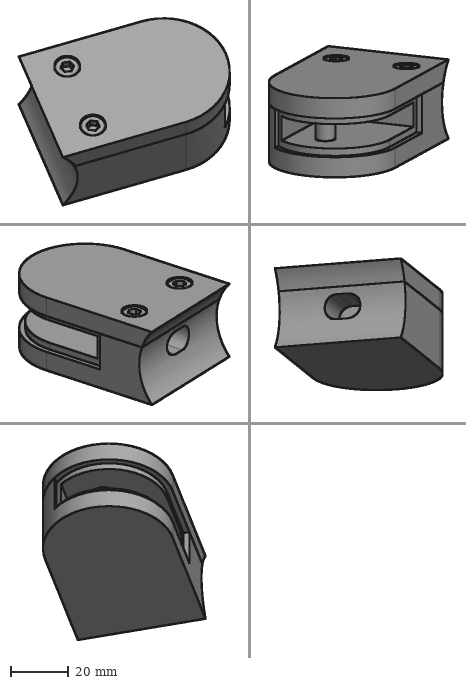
import cadquery as cq
import math

LENGTH = 68.5
WIDTH = 46.0
HEIGHT = 28.5
TUBE_RADIUS = 21.25

SLOT_HEIGHT = 14.0
SLOT_DEPTH = 46.0
SLOT_WALL_X = 15.1

GASKET_INSET = 2.1
LIP_THICKNESS = 2.6
SIDE_THICKNESS = 2.1

PEG_DIAMETER = 7.0
PEG_END_DIAMETER = 6.6
PEG_CLEARANCE = 0.15
PEG_SETBACK = 15.0

BOLT_SLOT_LENGTH = 13.0
BOLT_SLOT_HEIGHT = 9.0

SCREW_SPACING = 26.85
SCREW_SETBACK = 14.5
HEAD_DIAMETER = 9.0
HEAD_RECESS = 0.3
HEAD_ROUND = 0.6
SOCKET_DIAMETER = 4.65
SOCKET_DEPTH = 2.75
SOCKET_ANGLES = {-1: 20.0, 1: 2.0}

NOSE_Y = LENGTH / 2
BACK_Y = -LENGTH / 2
NOSE_RADIUS = WIDTH / 2
NOSE_CENTER_Y = NOSE_Y - NOSE_RADIUS
TOP_Z = HEIGHT / 2
SLOT_TOP_Z = SLOT_HEIGHT / 2
SLOT_END_Y = NOSE_Y - SLOT_DEPTH
TUBE_AXIS_Y = BACK_Y - math.sqrt(TUBE_RADIUS**2 - TOP_Z**2)


def rounded_plate(radius, back_y, bottom_z, top_z):
    """Flat plate with a straight back edge and a full-round nose."""
    return (
        cq.Workplane("XY", origin=(0, 0, bottom_z))
        .moveTo(-radius, back_y)
        .lineTo(radius, back_y)
        .lineTo(radius, NOSE_CENTER_Y)
        .threePointArc((0, NOSE_CENTER_Y + radius), (-radius, NOSE_CENTER_Y))
        .close()
        .extrude(top_z - bottom_z)
    )


def block(x_min, x_max, y_min, y_max, half_height):
    """Box placed by its X and Y limits, centred on Z = 0."""
    return (
        cq.Workplane("XY", origin=(0, 0, -half_height))
        .moveTo(x_min, y_min)
        .lineTo(x_max, y_min)
        .lineTo(x_max, y_max)
        .lineTo(x_min, y_max)
        .close()
        .extrude(2 * half_height)
    )


def opening():
    """Space between the jaws, closed at the back and by the +X wall."""
    return block(-WIDTH, SLOT_WALL_X, SLOT_END_Y, LENGTH, SLOT_TOP_Z)


def tube():
    """Round post along X, used to hollow the back face."""
    return (
        cq.Workplane("YZ", origin=(-WIDTH, TUBE_AXIS_Y, 0))
        .circle(TUBE_RADIUS)
        .extrude(2 * WIDTH)
    )


def peg_cylinder(diameter, height):
    """Cylinder on the peg axis, centred on Z = 0."""
    return (
        cq.Workplane("XY", origin=(0, NOSE_Y - PEG_SETBACK, -height / 2))
        .circle(diameter / 2)
        .extrude(height)
    )


def peg_core():
    """Slim part of the peg, from the lower jaw up to the cover."""
    return peg_cylinder(PEG_END_DIAMETER, SLOT_HEIGHT)


def peg():
    """Safety peg: slim core with a wider barrel between the gasket lips."""
    barrel_height = SLOT_HEIGHT - 2 * (LIP_THICKNESS + PEG_CLEARANCE)
    return peg_core().union(peg_cylinder(PEG_DIAMETER, barrel_height))


def bolt_slot():
    """Mounting slot from the hollow back through to the opening."""
    return (
        cq.Workplane("XZ", origin=(0, SLOT_END_Y, 0))
        .slot2D(BOLT_SLOT_LENGTH, BOLT_SLOT_HEIGHT)
        .extrude(SLOT_END_Y - BACK_Y)
    )


def make_base():
    body = rounded_plate(NOSE_RADIUS, BACK_Y, -TOP_Z, SLOT_TOP_Z)
    return body.cut(opening()).cut(tube()).cut(bolt_slot()).union(peg())


def head_relief():
    """Shallow recess above a screw head, deepening around its rounded rim.

    Z = 0 is the face of the head.
    """
    outer = HEAD_DIAMETER / 2
    inner = outer - HEAD_ROUND
    mid_offset = HEAD_ROUND * math.sqrt(0.5)
    return (
        cq.Workplane("XZ")
        .moveTo(0, 0)
        .lineTo(inner, 0)
        .threePointArc((inner + mid_offset, mid_offset - HEAD_ROUND), (outer, -HEAD_ROUND))
        .lineTo(outer, HEAD_RECESS)
        .lineTo(0, HEAD_RECESS)
        .close()
        .revolve(360, (0, 0, 0), (0, 1, 0))
    )


def hex_socket(angle):
    """Hexagon socket cut down from the face of a head at Z = 0."""
    return (
        cq.Workplane("XY")
        .polygon(6, SOCKET_DIAMETER)
        .extrude(-SOCKET_DEPTH)
        .rotate((0, 0, 0), (0, 0, 1), angle)
    )


def make_cover():
    cover = rounded_plate(NOSE_RADIUS, BACK_Y, SLOT_TOP_Z, TOP_Z).cut(tube())
    for side, angle in SOCKET_ANGLES.items():
        place = (side * SCREW_SPACING / 2, BACK_Y + SCREW_SETBACK, TOP_Z - HEAD_RECESS)
        cover = cover.cut(head_relief().translate(place))
        cover = cover.cut(hex_socket(angle).translate(place))
    return cover


def make_gasket():
    gasket_radius = NOSE_RADIUS - GASKET_INSET
    outline = rounded_plate(gasket_radius, SLOT_END_Y, -SLOT_TOP_Z, SLOT_TOP_Z)
    glass = block(
        -WIDTH,
        SLOT_WALL_X - SIDE_THICKNESS,
        SLOT_END_Y + LIP_THICKNESS,
        LENGTH,
        SLOT_TOP_Z - LIP_THICKNESS,
    )
    return outline.intersect(opening()).cut(glass).cut(peg_core())


base = make_base()
cover = make_cover()
gasket = make_gasket()

result = cq.Compound.makeCompound([base.val(), cover.val(), gasket.val()])